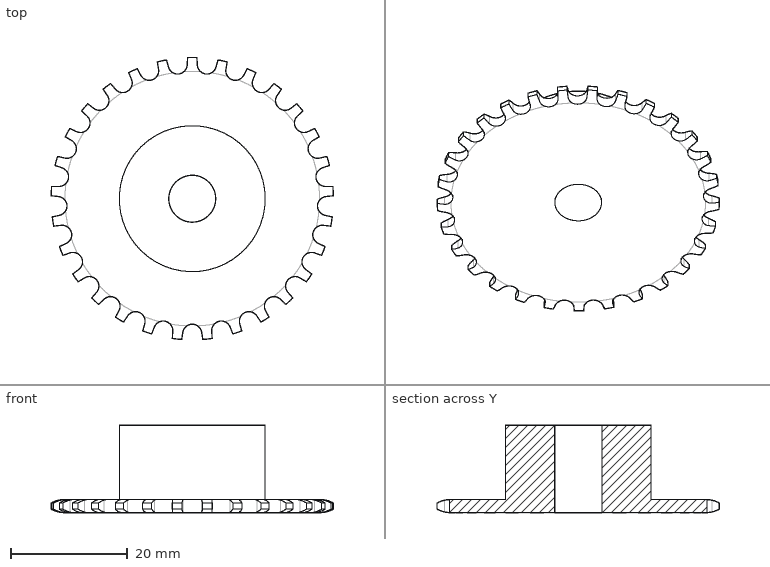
import cadquery as cq
import math

tooth_count = 29
chain_pitch = 5.0
seat_radius = 1.616
flank_angle = 9.0
tip_diameter = 48.4
plate_thickness = 2.3
shoulder_radius = 21.8
side_rounding_radius = 5.0
hub_diameter = 25.0
total_height = 15.0
bore_diameter = 8.0
cut_margin = 1.0

tooth_angle = 360.0 / tooth_count
pitch_radius = chain_pitch / 2 / math.sin(math.pi / tooth_count)
tip_radius = tip_diameter / 2
tip_setback = side_rounding_radius - math.sqrt(
    side_rounding_radius**2 - (tip_radius - shoulder_radius) ** 2
)


def arc_midpoint():
    """Radius and depth below the face, halfway along the tooth side rounding."""
    half_sweep = math.asin((tip_radius - shoulder_radius) / side_rounding_radius) / 2
    radius = shoulder_radius + side_rounding_radius * math.sin(half_sweep)
    depth = side_rounding_radius * (1 - math.cos(half_sweep))
    return radius, depth


def make_plate():
    """Disc with both sides of its rim rounded towards the tooth tips."""
    mid_radius, mid_depth = arc_midpoint()
    return (
        cq.Workplane("YZ")
        .lineTo(shoulder_radius, 0)
        .threePointArc((mid_radius, mid_depth), (tip_radius, tip_setback))
        .lineTo(tip_radius, plate_thickness - tip_setback)
        .threePointArc(
            (mid_radius, plate_thickness - mid_depth),
            (shoulder_radius, plate_thickness),
        )
        .lineTo(0, plate_thickness)
        .close()
        .revolve(360, (0, 0, 0), (0, 1, 0))
    )


def make_gap_cutter():
    """Tooth gap centred on +Y: round root with straight tangent flanks opening outwards."""
    lean = math.radians(flank_angle)
    tangent_x = seat_radius * math.cos(lean)
    tangent_y = pitch_radius - seat_radius * math.sin(lean)
    outer_y = tip_radius + cut_margin
    outer_x = tangent_x + (outer_y - tangent_y) * math.tan(lean)
    return (
        cq.Workplane("XY")
        .moveTo(-outer_x, outer_y)
        .lineTo(-tangent_x, tangent_y)
        .threePointArc((0, pitch_radius - seat_radius), (tangent_x, tangent_y))
        .lineTo(outer_x, outer_y)
        .close()
        .extrude(plate_thickness)
    )


def cut_tooth_gaps(plate):
    """Cut the gaps so that one tooth is centred on +Y."""
    gap_cutter = make_gap_cutter()
    for index in range(tooth_count):
        gap_angle = (index + 0.5) * tooth_angle
        plate = plate.cut(gap_cutter.rotate((0, 0, 0), (0, 0, 1), gap_angle))
    return plate


def make_hub():
    return cq.Workplane("XY").circle(hub_diameter / 2).extrude(total_height)


def make_bore_cutter():
    return (
        cq.Workplane("XY", origin=(0, 0, -cut_margin))
        .circle(bore_diameter / 2)
        .extrude(total_height + 2 * cut_margin)
    )


result = cut_tooth_gaps(make_plate()).union(make_hub()).cut(make_bore_cutter())